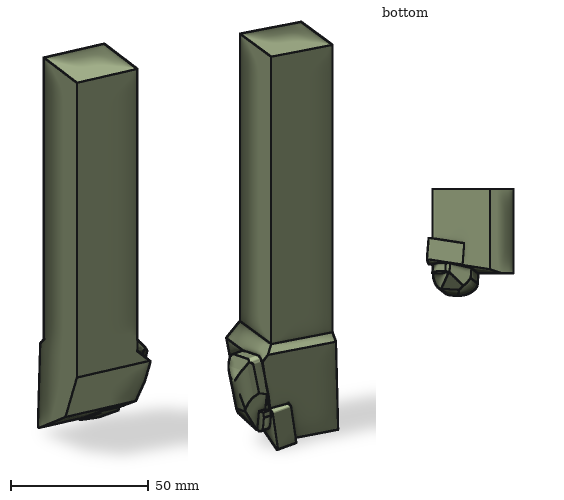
import cadquery as cq
import math


tool_length = 152.4
tool_width = 31.7
shank_side = 25.1
ramp_top_z = 39.3
ramp_rise = 2.7
head_depth = 30.8
flank_angle = 3.0
head_tip_z = 1.7
head_tip_radius = 0.8

end_corner = (23.0, 14.8)
heel_z = 34.1

seat_y = 25.6
seat_slope_x = 0.08
seat_slope_z = 0.12

insert_angle = 55.0
inscribed_diameter = 12.6
insert_thickness = 8.0
insert_radius = 0.8

clamp_across = 2.3
clamp_up = 21.6
clamp_lean = 9.0
clamp_width = 14.8
clamp_rear = 15.7
clamp_height = 9.3
clamp_corner_radius = 2.3
wall_height = 3.7
shoulder_height = 5.6
shoulder_inset = 0.9
rear_wall_height = 4.3
rear_crown = [(7.6, clamp_height), (9.9, 8.7), (12.2, 7.5)]
front_crown = (-3.8, 8.4)
foot_height = 0.6
nose_height = 3.0
nose_top = -5.3
nose_end = (-13.7, 7.0)
nose_left = [(-7.5, 1.2), (-8.8, 2.0), (-11.3, 3.2)]
nose_round_middle = (-13.1, 4.9)
nose_right = (-13.3, 8.5)
taper_start = -3.0
facet_start = 1.2
facet_angle = 28.0
facet_draft = 11.0

far = 61.0

left_x = tool_width - shank_side
head_left_x = left_x - ramp_rise
ramp_foot_z = ramp_top_z - ramp_rise
head_tip_x = head_left_x - (ramp_foot_z - head_tip_z) * math.tan(math.radians(flank_angle))

nose_distance = insert_radius / math.sin(math.radians(insert_angle / 2))
nose_direction = math.radians(90 - flank_angle - insert_angle / 2)
corner_x = insert_radius - nose_distance * math.cos(nose_direction)
corner_z = insert_radius - nose_distance * math.sin(nose_direction)

seat = cq.Plane(
    origin=(corner_x, seat_y, corner_z),
    xDir=(0, seat_slope_z, 1),
    normal=(-seat_slope_x, 1, -seat_slope_z),
)


def on_seat(body):
    return cq.Workplane(body.val().moved(seat.location))


def make_insert():
    side = inscribed_diameter / math.sin(math.radians(insert_angle))
    flank = math.radians(flank_angle)
    end = math.radians(flank_angle + insert_angle)
    flank_corner = (side * math.cos(flank), side * math.sin(flank))
    lower_corner = (side * math.cos(end), side * math.sin(end))
    far_corner = (flank_corner[0] + lower_corner[0], flank_corner[1] + lower_corner[1])
    rhombus = cq.Workplane("XY").polyline([(0, 0), flank_corner, far_corner, lower_corner]).close()
    return on_seat(rhombus.extrude(-insert_thickness).edges("|Z").fillet(insert_radius))


def make_shank_and_head():
    shank = (
        cq.Workplane("XY", origin=(0, 0, ramp_top_z))
        .rect(shank_side, shank_side)
        .extrude(tool_length - ramp_top_z)
        .translate((left_x + shank_side / 2, shank_side / 2, 0))
    )
    head = (
        cq.Workplane("XZ")
        .moveTo(left_x, ramp_top_z)
        .lineTo(head_left_x, ramp_foot_z)
        .lineTo(head_tip_x, head_tip_z)
        .lineTo(*end_corner)
        .lineTo(tool_width, heel_z)
        .lineTo(tool_width, ramp_top_z)
        .close()
        .extrude(-head_depth)
        .edges("|Y and <Z")
        .fillet(head_tip_radius)
    )
    step = head_depth - shank_side
    ramp_waste = (
        cq.Workplane("YZ")
        .polyline([(shank_side, ramp_top_z), (head_depth, ramp_top_z), (head_depth, ramp_top_z - step)])
        .close()
        .extrude(tool_width)
    )
    above_seat = cq.Workplane("XY").box(2 * far, 2 * far, far, centered=(True, True, False))
    return shank.union(head.cut(ramp_waste).cut(on_seat(above_seat)))


def clamp_outline_block():
    outline = cq.Workplane("XY").moveTo(clamp_rear, 0).lineTo(0, 0)
    for point in nose_left:
        outline = outline.lineTo(*point)
    outline = (
        outline.threePointArc(nose_round_middle, nose_end)
        .lineTo(*nose_right)
        .lineTo(taper_start, clamp_width)
        .lineTo(clamp_rear, clamp_width)
        .close()
    )
    return outline.extrude(2 * clamp_height).edges("|Z and >X").fillet(clamp_corner_radius)


def clamp_side_profile():
    crown_start, crown_middle, crown_end = rear_crown
    return (
        cq.Workplane("XZ")
        .moveTo(nose_end[0], 0)
        .lineTo(nose_end[0], nose_height)
        .lineTo(*front_crown)
        .lineTo(*crown_start)
        .threePointArc(crown_middle, crown_end)
        .lineTo(clamp_rear, rear_wall_height)
        .lineTo(clamp_rear, 0)
        .close()
        .extrude(far, both=True)
    )


def clamp_cross_section():
    return (
        cq.Workplane("YZ")
        .lineTo(0, wall_height)
        .lineTo(shoulder_inset, shoulder_height)
        .threePointArc((clamp_width / 2, clamp_height), (clamp_width - shoulder_inset, shoulder_height))
        .lineTo(clamp_width, wall_height)
        .lineTo(clamp_width, 0)
        .close()
        .extrude(far, both=True)
    )


def facet_waste():
    facet = math.radians(facet_angle)
    draft = math.radians(facet_draft)
    facet_plane = cq.Plane(
        origin=(facet_start, 0, foot_height),
        xDir=(math.cos(facet), -math.sin(facet), 0),
        normal=(-math.cos(draft) * math.sin(facet), -math.cos(draft) * math.cos(facet), math.sin(draft)),
    )
    return cq.Workplane(facet_plane).rect(far, far).extrude(far)


def make_clamp():
    block = clamp_outline_block()
    dome = block.intersect(clamp_side_profile()).intersect(clamp_cross_section()).cut(facet_waste())
    foot = block.intersect(cq.Workplane("XY").box(far, far, 2 * foot_height))
    nose_limit = cq.Workplane("XY").box(far, far, 2 * nose_height).translate((nose_top - far / 2, 0, 0))
    nose = block.intersect(nose_limit)
    clamp = dome.union(foot).union(nose).rotate((0, 0, 0), (0, 0, 1), clamp_lean)
    return on_seat(clamp.translate((clamp_up, clamp_across, 0)))


insert = make_insert()
holder = make_shank_and_head().union(make_clamp()).cut(insert)

result = cq.Compound.makeCompound([holder.val(), insert.val()])